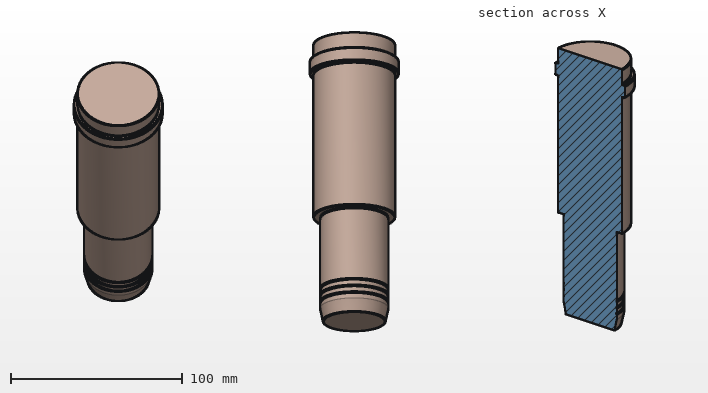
import cadquery as cq

total_length = 170
collar_radius = 52.0 / 2
body_radius = 48.0 / 2
shank_radius = 40.0 / 2
tip_radius = 36.5 / 2

tip_height = 8.0
body_bottom = 64.0
collar_bottom = 152.0
collar_top = 160.0

edge_chamfer = 0.5
face_chamfer = 0.42
relief_width = 0.8
relief_depth = 0.2

groove_count = 3
groove_pitch = 4.0
groove_width = 1.0
groove_depth = 0.5
first_groove_center = tip_height + groove_pitch - groove_width / 2


def cylinder(radius, bottom, top):
    """Solid cylinder on the Z axis between two heights."""
    return cq.Workplane("XY").workplane(offset=bottom).circle(radius).extrude(top - bottom)


def revolve_profile(points):
    """Solid of revolution about Z from (radius, height) corner points."""
    return cq.Workplane("XZ").polyline(points).close().revolve(360, (0, 0), (0, 1))


def root_relief(radius, shoulder_height, direction):
    """Shallow ring cut beside a shoulder; direction is +1 above it, -1 below."""
    end = shoulder_height + direction * relief_width
    bottom = min(shoulder_height, end)
    top = max(shoulder_height, end)
    return cylinder(collar_radius, bottom, top).cut(cylinder(radius - relief_depth, bottom, top))


def v_groove(center):
    """Ring with a triangular section, removed from the shank surface."""
    return revolve_profile([
        (shank_radius - groove_depth, center),
        (shank_radius + groove_depth, center - groove_width),
        (shank_radius + groove_depth, center + groove_width),
    ])


tip = revolve_profile([(0, 0), (tip_radius, 0), (shank_radius, tip_height), (0, tip_height)])
tip = tip.faces("<Z").edges().chamfer(face_chamfer)
shank = cylinder(shank_radius, tip_height, body_bottom)
body = cylinder(body_radius, body_bottom, total_length)
body = body.edges("<Z").chamfer(edge_chamfer)
body = body.edges(">Z").chamfer(face_chamfer)
collar = cylinder(collar_radius, collar_bottom, collar_top).edges().chamfer(edge_chamfer)

result = tip.union(shank).union(body).union(collar)

for radius, shoulder_height, direction in [
    (shank_radius, body_bottom, -1),
    (body_radius, collar_bottom, -1),
    (body_radius, collar_top, 1),
]:
    result = result.cut(root_relief(radius, shoulder_height, direction))

for index in range(groove_count):
    result = result.cut(v_groove(first_groove_center + index * groove_pitch))